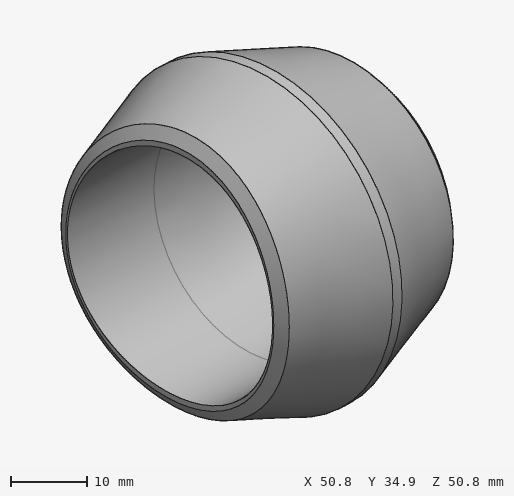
import cadquery as cq

band_radius = 25.4
overall_length = 34.9
band_width = 1.8
back_length = 17.4
back_face_radius = 18.4
back_chamfer_length = 1.7
back_cone_radius = 20.1
front_cone_radius = 20.95
front_cone_length = 12.95
saddle_radius = 109.6
saddle_crest_y = 1.6
saddle_chamfer = 1.35
socket_radius = 18.3
socket_bottom_y = 16.85
back_bore_radius = 16.65

band_back_y = overall_length - back_length
band_front_y = band_back_y - band_width
front_taper = (band_radius - front_cone_radius) / front_cone_length
front_end_radius = band_radius - front_taper * band_front_y


def revolve_about_y(points):
    """Solid of revolution from (radius, y) points."""
    section = cq.Workplane("ZY").polyline(points).close()
    return section.revolve(360, (0, 0, 0), (0, 1, 0))


def outer_body():
    """Double cone with a cylindrical band and a bevelled back end."""
    overrun = 1.0
    return revolve_about_y([
        (0, -overrun),
        (front_end_radius - front_taper * overrun, -overrun),
        (band_radius, band_front_y),
        (band_radius, band_back_y),
        (back_cone_radius, overall_length - back_chamfer_length),
        (back_face_radius, overall_length),
        (0, overall_length),
    ])


def run_pipe():
    """Cylinder along Z that forms the concave front end."""
    pipe_length = 4 * band_radius
    return (
        cq.Workplane("XY")
        .center(0, saddle_crest_y - saddle_radius)
        .circle(saddle_radius)
        .extrude(pipe_length / 2, both=True)
    )


def bore():
    """Straight socket from the front, then a taper down to the back opening."""
    clearance = 2.55
    return revolve_about_y([
        (0, -clearance),
        (socket_radius, -clearance),
        (socket_radius, socket_bottom_y),
        (back_bore_radius, overall_length),
        (0, overall_length),
    ])


saddled_body = outer_body().cut(run_pipe())
bevelled_body = saddled_body.faces("<Y").edges().chamfer(saddle_chamfer)
result = bevelled_body.cut(bore())